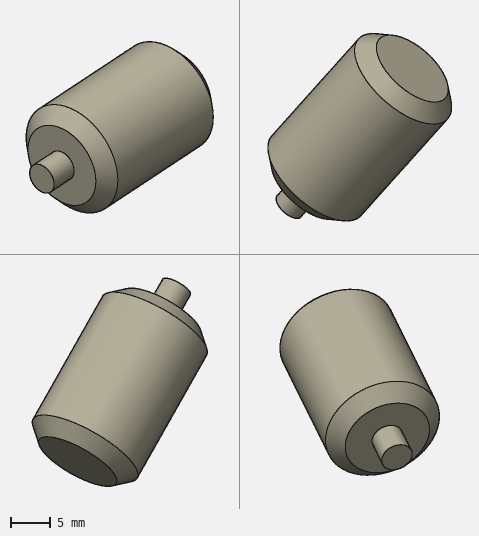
import cadquery as cq

total_length = 26.95
body_diameter = 15.3
chamfer_size = 2.0
pin_diameter = 4.1
pin_length = 4.0

body_length = total_length - pin_length


def make_body():
    """Cylinder from Y = 0 to Y = body_length, chamfered at both ends."""
    cylinder = cq.Workplane("XZ").circle(body_diameter / 2).extrude(-body_length)
    return cylinder.faces("<Y or >Y").chamfer(chamfer_size)


def make_pin():
    """Plain pin standing out of the -Y end face."""
    return cq.Workplane("XZ").circle(pin_diameter / 2).extrude(pin_length)


result = make_body().union(make_pin())